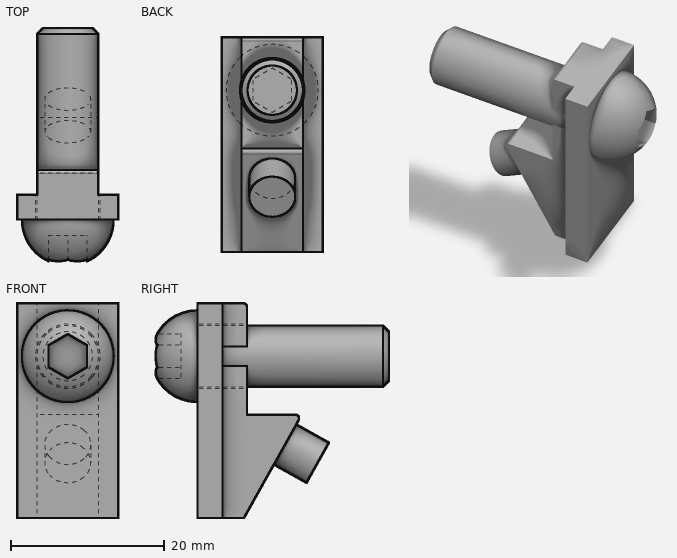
import cadquery as cq
import math


plate_width = 13.2
plate_height = 28.0
plate_thickness = 3.25
rib_width = 8.0
rib_back = 6.5
rib_edge_radius = 0.5
bolt_height = 21.1
bolt_hole_diameter = 8.4

wedge_height = 13.5
wedge_foot = 6.1
wedge_angle = 29.2
wedge_tip_radius = 0.5
wedge_tip = wedge_foot + wedge_height * math.tan(math.radians(wedge_angle))

pin_diameter = 6.0
pin_length = 4.87
pin_height = 9.6
pin_root = wedge_foot + pin_height * math.tan(math.radians(wedge_angle))

shank_diameter = 8.0
shank_length = 25.0
tip_chamfer_length = 0.8
tip_chamfer_depth = 0.8
head_radius = 6.0
socket_flats = 5.0
socket_corners = socket_flats / math.cos(math.radians(30))
socket_floor = 2.1


def make_plate():
    return cq.Workplane("XY").box(
        plate_width, plate_thickness, plate_height, centered=(True, False, False)
    )


def make_rib():
    """Rib with its wedge, extruded across X from a side profile in Y and Z."""
    rib = (
        cq.Workplane("YZ")
        .moveTo(plate_thickness, 0)
        .lineTo(wedge_foot, 0)
        .lineTo(wedge_tip, wedge_height)
        .lineTo(rib_back, wedge_height)
        .lineTo(rib_back, plate_height)
        .lineTo(plate_thickness, plate_height)
        .close()
        .extrude(rib_width / 2, both=True)
    )
    rib = rib.edges(cq.NearestToPointSelector((0, wedge_tip, wedge_height))).fillet(wedge_tip_radius)
    return rib.edges(cq.NearestToPointSelector((0, rib_back, plate_height))).fillet(rib_edge_radius)


def make_pin():
    slope = math.radians(wedge_angle)
    outward = cq.Vector(0, math.cos(slope), -math.sin(slope))
    root = cq.Vector(0, pin_root, pin_height)
    return cq.Workplane(cq.Plane(root, (1, 0, 0), outward)).circle(pin_diameter / 2).extrude(pin_length)


def make_bolt_hole():
    return (
        cq.Workplane("XZ", origin=(0, 0, bolt_height))
        .circle(bolt_hole_diameter / 2)
        .extrude(-rib_back)
    )


def make_clamp():
    return make_plate().union(make_rib()).cut(make_bolt_hole()).union(make_pin())


def make_bolt():
    """Shank and hemispherical head revolved about the bolt axis, with a hexagon socket."""
    shank_radius = shank_diameter / 2
    bolt = (
        cq.Workplane("XY", origin=(0, 0, bolt_height))
        .moveTo(0, -head_radius)
        .radiusArc((head_radius, 0), -head_radius)
        .lineTo(shank_radius, 0)
        .lineTo(shank_radius, shank_length - tip_chamfer_length)
        .lineTo(shank_radius - tip_chamfer_depth, shank_length)
        .lineTo(0, shank_length)
        .close()
        .revolve(360, (0, 0), (0, 1))
    )
    socket = (
        cq.Workplane("XZ", origin=(0, -socket_floor, bolt_height))
        .transformed(rotate=(0, 0, 90))
        .polygon(6, socket_corners)
        .extrude(head_radius)
    )
    return bolt.cut(socket)


clamp = make_clamp()
bolt = make_bolt()

result = cq.Compound.makeCompound([clamp.val(), bolt.val()])